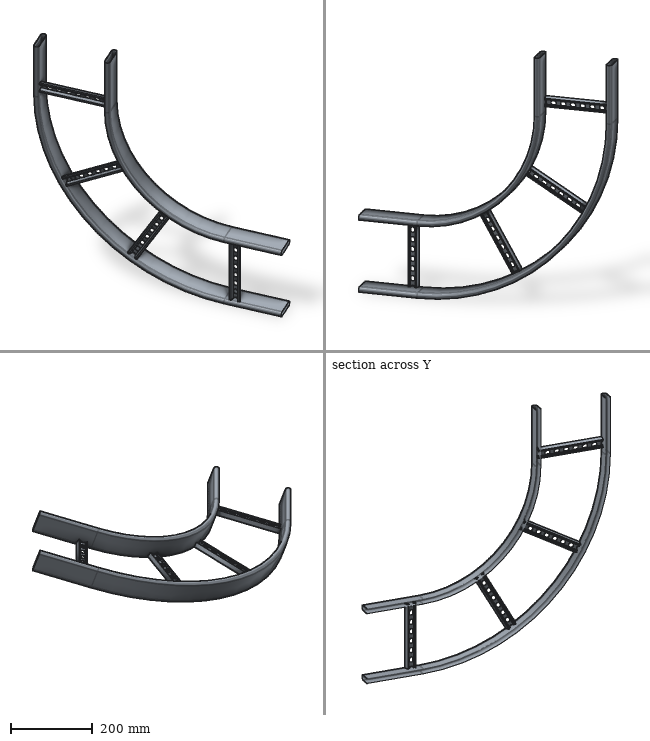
import cadquery as cq
import math

OVERALL = 650.0
BEND_RADIUS = 500.0
LADDER_WIDTH = 200.0
RAIL_HEIGHT = 60.0
RAIL_THICKNESS = 15.0
RAIL_WALL = 1.5

RUNG_WIDTH = 31.0
RUNG_BACK_WIDTH = 22.0
RUNG_DEPTH = 13.5
RUNG_SHEET = 2.0
RUNG_CORNER_RADIUS = 2.5
RECESS_DEPTH = 9.0
RECESS_CORNER_RADIUS = 2.0
RECESS_MOUTH_WIDTH = 15.5
WEB_WIDTH = 11.0
RUNG_FRONT = 6.0
RUNG_SETBACK = 25.5
BEND_RUNG_ANGLES = (30, 60)

SLOT_LENGTH = 13.5
SLOT_WIDTH = 10.5
SLOT_COUNT = 8
SLOT_SPAN = 175.0

BEND_CENTRE = BEND_RADIUS
INNER_RAIL_OFFSET = LADDER_WIDTH - RAIL_THICKNESS
RUNG_LENGTH = INNER_RAIL_OFFSET
RUNG_MID_RADIUS = BEND_RADIUS - LADDER_WIDTH / 2


def rail_sweep(offset, inset):
    """Flat oval swept along a rail; inset shrinks the oval on all sides."""
    centre = offset + RAIL_THICKNESS / 2
    radius = BEND_CENTRE - centre
    arc_reach = radius * math.sqrt(0.5)
    path = (
        cq.Workplane("XZ")
        .moveTo(centre, OVERALL)
        .lineTo(centre, BEND_CENTRE)
        .threePointArc(
            (BEND_CENTRE - arc_reach, BEND_CENTRE - arc_reach),
            (BEND_CENTRE, centre),
        )
        .lineTo(OVERALL, centre)
    )
    return (
        cq.Workplane("XY", origin=(centre, RAIL_HEIGHT / 2, OVERALL))
        .slot2D(RAIL_HEIGHT - 2 * inset, RAIL_THICKNESS - 2 * inset, 90)
        .sweep(path)
    )


def make_rail(offset):
    """Hollow rail: straight leg, quarter bend, straight leg."""
    return rail_sweep(offset, 0).cut(rail_sweep(offset, RAIL_WALL))


def fillet_both_sides(channel, across, depth, radius):
    """Round the two lengthwise edges at Z = +-across and Y = depth."""
    margin = 0.5
    edges = [
        cq.selectors.BoxSelector(
            (-margin, depth - margin, z - margin),
            (margin, depth + margin, z + margin),
        )
        for z in (-across, across)
    ]
    return channel.edges(edges[0] + edges[1]).fillet(radius)


def rung_blank():
    """Rung along X, centred on X = Z = 0, with its front at Y = 0."""
    side = RUNG_WIDTH / 2
    back = RUNG_BACK_WIDTH / 2
    mouth = RECESS_MOUTH_WIDTH / 2
    web = WEB_WIDTH / 2
    half_outline = [
        (0, RECESS_DEPTH),
        (web, RECESS_DEPTH),
        (mouth, 0),
        (side, 0),
        (back, RUNG_DEPTH),
        (back - RUNG_SHEET, RUNG_DEPTH),
        (side - RUNG_SHEET, RUNG_SHEET),
        (mouth + RUNG_SHEET, RUNG_SHEET),
        (web + RUNG_SHEET, RECESS_DEPTH + RUNG_SHEET),
        (0, RECESS_DEPTH + RUNG_SHEET),
    ]
    other_half = [(-across, depth) for across, depth in half_outline[-2:0:-1]]
    section = cq.Plane(origin=(-RUNG_LENGTH / 2, 0, 0), xDir=(0, 0, -1), normal=(1, 0, 0))
    channel = cq.Workplane(section).polyline(half_outline + other_half).close().extrude(RUNG_LENGTH)
    channel = fillet_both_sides(channel, side, 0, RUNG_CORNER_RADIUS)
    channel = fillet_both_sides(channel, mouth, 0, RECESS_CORNER_RADIUS)
    slot_pitch = SLOT_SPAN / (SLOT_COUNT - 1)
    slots = (
        cq.Workplane("XZ")
        .rarray(slot_pitch, 6.5, SLOT_COUNT, 1)
        .slot2D(SLOT_LENGTH, SLOT_WIDTH)
        .extrude(-RUNG_DEPTH)
    )
    return channel.cut(slots)


def place_rung(blank, angle, middle):
    """Turn a rung in the XZ plane and put its middle at the given (x, z)."""
    return blank.rotate((0, 0, 0), (0, -1, 0), angle).translate((middle[0], RUNG_FRONT, middle[1]))


outer_rail = make_rail(0)
inner_rail = make_rail(INNER_RAIL_OFFSET)

leg_rung_across = LADDER_WIDTH / 2
leg_rung_along = BEND_CENTRE + RUNG_SETBACK
placements = [(0, (leg_rung_across, leg_rung_along)), (90, (leg_rung_along, leg_rung_across))]
for angle in BEND_RUNG_ANGLES:
    turn = math.radians(angle)
    middle = (
        BEND_CENTRE - RUNG_MID_RADIUS * math.cos(turn),
        BEND_CENTRE - RUNG_MID_RADIUS * math.sin(turn),
    )
    placements.append((angle, middle))

blank = rung_blank()
rail_envelopes = [rail_sweep(0, 0), rail_sweep(INNER_RAIL_OFFSET, 0)]
rungs = []
for angle, middle in placements:
    rung = place_rung(blank, angle, middle)
    for envelope in rail_envelopes:
        rung = rung.cut(envelope)
    rungs.append(rung)

result = cq.Compound.makeCompound(
    [outer_rail.solids().val(), inner_rail.solids().val()] + [rung.solids().val() for rung in rungs]
)